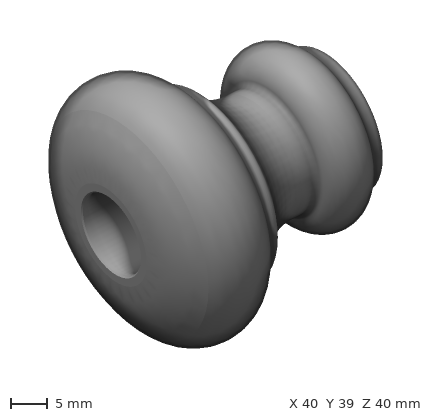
import cadquery as cq
import math

LENGTH = 39.0
BORE_RADIUS = 6.25
BORE_CHAMFER = 0.2
FRONT_FLAT_RADIUS = 7.68

HEAD_RADIUS = 20.0
HEAD_TUBE = 6.68
HEAD_Y = 8.48
HEAD_COLLAR_RADIUS = 15.0

COVE_TUBE = 9.4
COVE_Y = 25.65
WAIST_RADIUS = 9.48

BEAD_RADIUS = 14.05
BEAD_TUBE = 4.25
BEAD_Y = 32.47
BACK_RING_RADIUS = 11.05

FILLET = 1.0

HEAD_CENTRE = (HEAD_RADIUS - HEAD_TUBE, HEAD_Y)
COVE_CENTRE = (WAIST_RADIUS + COVE_TUBE, COVE_Y)
BEAD_CENTRE = (BEAD_RADIUS - BEAD_TUBE, BEAD_Y)


def blend_centre(radius, centre, tube, side):
    """Centre of a fillet touching a circle from outside; side is +1 or -1 along Y."""
    return (radius, centre[1] + side * math.sqrt((tube + FILLET) ** 2 - (radius - centre[0]) ** 2))


def point_towards(start, target, distance):
    """Point at a distance from start on the line through target."""
    scale = distance / math.dist(start, target)
    return tuple(s + scale * (t - s) for s, t in zip(start, target))


dome_offset = HEAD_CENTRE[0] - FRONT_FLAT_RADIUS
dome_radius = (dome_offset**2 + HEAD_Y**2 - HEAD_TUBE**2) / (2 * (HEAD_Y - HEAD_TUBE))
dome_centre = (FRONT_FLAT_RADIUS, dome_radius)
dome_end = point_towards(dome_centre, HEAD_CENTRE, dome_radius)

head_blend = blend_centre(HEAD_COLLAR_RADIUS + FILLET, HEAD_CENTRE, HEAD_TUBE, 1)
collar_blend = blend_centre(HEAD_COLLAR_RADIUS - FILLET, COVE_CENTRE, COVE_TUBE, -1)
waist_blend = blend_centre(WAIST_RADIUS + FILLET, BEAD_CENTRE, BEAD_TUBE, -1)
ring_blend = blend_centre(BACK_RING_RADIUS + FILLET, BEAD_CENTRE, BEAD_TUBE, 1)

profile = (
    cq.Workplane("XY")
    .moveTo(BORE_RADIUS + BORE_CHAMFER, 0)
    .lineTo(FRONT_FLAT_RADIUS, 0)
    .radiusArc(dome_end, -dome_radius)
    .radiusArc(point_towards(HEAD_CENTRE, head_blend, HEAD_TUBE), -HEAD_TUBE)
    .radiusArc((HEAD_COLLAR_RADIUS, head_blend[1]), FILLET)
    .lineTo(HEAD_COLLAR_RADIUS, collar_blend[1])
    .radiusArc(point_towards(collar_blend, COVE_CENTRE, FILLET), -FILLET)
    .radiusArc((WAIST_RADIUS, COVE_Y), COVE_TUBE)
    .lineTo(WAIST_RADIUS, waist_blend[1])
    .radiusArc(point_towards(waist_blend, BEAD_CENTRE, FILLET), FILLET)
    .radiusArc(point_towards(BEAD_CENTRE, ring_blend, BEAD_TUBE), -BEAD_TUBE)
    .radiusArc((BACK_RING_RADIUS, ring_blend[1]), FILLET)
    .lineTo(BACK_RING_RADIUS, LENGTH - FILLET)
    .radiusArc((BACK_RING_RADIUS - FILLET, LENGTH), -FILLET)
    .lineTo(BORE_RADIUS, LENGTH)
    .lineTo(BORE_RADIUS, BORE_CHAMFER)
    .close()
)

result = profile.revolve(360, (0, 0), (0, 1))